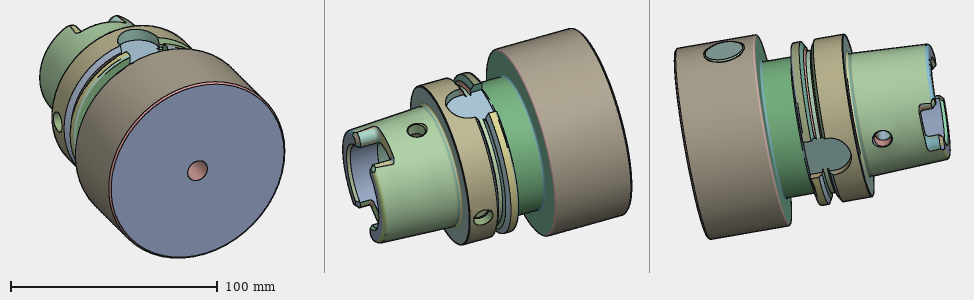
import cadquery as cq
import math


shank_length = 40.0
taper_large_radius = 30.2
taper_ratio = 9.98
taper_end_x = -2.5
relief_radius = 30.0
relief_start_x = -1.7
root_arc_start_x = -0.9
root_arc_radius = 1.0
face_recess_radius = 31.9
tip_fillet = 1.6

bore_radius = 21.0
bore_mouth_radius = 21.7
bore_mouth_depth = 1.7
chamber_start_x = -24.2
chamber_radius = 23.0
chamber_floor_x = -6.6
chamber_floor_fillet = 3.7

centre_hole_radius = 9.2
centre_hole_chamfer = 0.7
centre_hole_depth = 20.0
coolant_radius = 5.25

flange_radius = 40.0
flange_length = 25.8
flange_front_chamfer = 0.4
flange_back_fillet = 1.0
groove_floor_radius = 35.0
groove_left_x = 16.2
groove_right_x = 19.9
groove_wall_radius = 37.2
groove_mouth_left_x = 14.5
groove_mouth_right_x = 21.5
groove_floor_fillet = 0.8

neck_radius = 33.5
neck_fillet = 1.1
head_radius = 47.0
head_start_x = 41.9
head_end_x = 81.9
head_front_fillet = 1.0
head_back_chamfer = 0.9

slot_half_width = 8.0
slot_bottom_z = 10.0
slot_corner_start_z = 21.5
slot_corner_radius = 4.0
slot_outer_half_width = 17.0
slot_top_z = 40.0
slot_floor_fillet = 1.9
slot_tip_chamfer = 1.9
upper_slot_depth = 12.1
lower_slot_depth = 8.3

cross_hole_x = -12.0
cross_hole_radius = 4.25
cross_hole_mouth_radius = 4.85

keyway_half_width = 10.0
keyway_floor_z = 34.0
keyway_start_x = 3.7
keyway_end_x = flange_length + neck_fillet

pocket_x = 7.2
pocket_radius = 5.0
pocket_depth = 5.2
pocket_floor_chamfer = 0.4

screw_x = 57.2
screw_radius = 10.0
screw_length = 20.0
screw_chamfer = 0.8

overcut = 5.0


def taper_radius(x):
    return taper_large_radius - (taper_end_x - x) / (2 * taper_ratio)


def revolve_about_x(profile):
    return profile.close().revolve(360, (0, 0, 0), (1, 0, 0))


def turned_body():
    tip_x = -shank_length
    tip_radius = taper_radius(tip_x)
    diagonal = math.sqrt(0.5)
    root_arc_middle = (
        root_arc_start_x + root_arc_radius * diagonal,
        relief_radius + root_arc_radius * (1 - diagonal),
    )
    root_arc_end = (root_arc_start_x + root_arc_radius, relief_radius + root_arc_radius)
    flange_arc_inset = flange_back_fillet * (1 - diagonal)
    neck_arc_inset = neck_fillet * (1 - diagonal)
    head_arc_inset = head_front_fillet * (1 - diagonal)
    tip_arc_inset = tip_fillet * (1 - diagonal)
    floor_arc_inset = groove_floor_fillet * (1 - diagonal)
    profile = (
        cq.Workplane("XY")
        .moveTo(tip_x, 0)
        .lineTo(tip_x, tip_radius - tip_fillet)
        .threePointArc(
            (tip_x + tip_arc_inset, tip_radius - tip_arc_inset),
            (tip_x + tip_fillet, taper_radius(tip_x + tip_fillet)),
        )
        .lineTo(taper_end_x, taper_large_radius)
        .lineTo(relief_start_x, relief_radius)
        .lineTo(root_arc_start_x, relief_radius)
        .threePointArc(root_arc_middle, root_arc_end)
        .lineTo(0, face_recess_radius)
        .lineTo(0, flange_radius - flange_front_chamfer)
        .lineTo(flange_front_chamfer, flange_radius)
        .lineTo(groove_mouth_left_x, flange_radius)
        .lineTo(groove_left_x, groove_wall_radius)
        .lineTo(groove_left_x, groove_floor_radius + groove_floor_fillet)
        .threePointArc(
            (groove_left_x + floor_arc_inset, groove_floor_radius + floor_arc_inset),
            (groove_left_x + groove_floor_fillet, groove_floor_radius),
        )
        .lineTo(groove_right_x - groove_floor_fillet, groove_floor_radius)
        .threePointArc(
            (groove_right_x - floor_arc_inset, groove_floor_radius + floor_arc_inset),
            (groove_right_x, groove_floor_radius + groove_floor_fillet),
        )
        .lineTo(groove_right_x, groove_wall_radius)
        .lineTo(groove_mouth_right_x, flange_radius)
        .lineTo(flange_length - flange_back_fillet, flange_radius)
        .threePointArc(
            (flange_length - flange_arc_inset, flange_radius - flange_arc_inset),
            (flange_length, flange_radius - flange_back_fillet),
        )
        .lineTo(flange_length, neck_radius + neck_fillet)
        .threePointArc(
            (flange_length + neck_arc_inset, neck_radius + neck_arc_inset),
            (flange_length + neck_fillet, neck_radius),
        )
        .lineTo(head_start_x - neck_fillet, neck_radius)
        .threePointArc(
            (head_start_x - neck_arc_inset, neck_radius + neck_arc_inset),
            (head_start_x, neck_radius + neck_fillet),
        )
        .lineTo(head_start_x, head_radius - head_front_fillet)
        .threePointArc(
            (head_start_x + head_arc_inset, head_radius - head_arc_inset),
            (head_start_x + head_front_fillet, head_radius),
        )
        .lineTo(head_end_x - head_back_chamfer, head_radius)
        .lineTo(head_end_x, head_radius - head_back_chamfer)
        .lineTo(head_end_x, 0)
    )
    return revolve_about_x(profile)


def bore_cutter():
    tip_x = -shank_length
    floor_x = chamber_floor_x
    fillet_inset = chamber_floor_fillet * (1 - math.sqrt(0.5))
    hole_end_x = floor_x + centre_hole_depth
    profile = (
        cq.Workplane("XY")
        .moveTo(tip_x, 0)
        .lineTo(tip_x, bore_mouth_radius)
        .lineTo(tip_x + bore_mouth_depth, bore_radius)
        .lineTo(chamber_start_x, bore_radius)
        .lineTo(chamber_start_x, chamber_radius)
        .lineTo(floor_x - chamber_floor_fillet, chamber_radius)
        .threePointArc(
            (floor_x - fillet_inset, chamber_radius - fillet_inset),
            (floor_x, chamber_radius - chamber_floor_fillet),
        )
        .lineTo(floor_x, centre_hole_radius + centre_hole_chamfer)
        .lineTo(floor_x + centre_hole_chamfer, centre_hole_radius)
        .lineTo(hole_end_x, centre_hole_radius)
        .lineTo(hole_end_x, coolant_radius)
        .lineTo(head_end_x, coolant_radius)
        .lineTo(head_end_x, 0)
    )
    return revolve_about_x(profile)


def drive_slot_section():
    """Outline across the shank axis: a narrow slot whose outer corners flare out round."""
    flare_half_width = slot_half_width + slot_corner_radius
    flare_z = slot_corner_start_z + slot_corner_radius
    arc_inset = slot_corner_radius * (1 - math.sqrt(0.5))
    return (
        cq.Workplane("YZ", origin=(-shank_length, 0, 0))
        .moveTo(-slot_half_width, slot_bottom_z)
        .lineTo(slot_half_width, slot_bottom_z)
        .lineTo(slot_half_width, slot_corner_start_z)
        .threePointArc(
            (slot_half_width + arc_inset, flare_z - arc_inset),
            (flare_half_width, flare_z),
        )
        .lineTo(slot_outer_half_width, flare_z)
        .lineTo(slot_outer_half_width, slot_top_z)
        .lineTo(-slot_outer_half_width, slot_top_z)
        .lineTo(-slot_outer_half_width, flare_z)
        .lineTo(-flare_half_width, flare_z)
        .threePointArc(
            (-slot_half_width - arc_inset, flare_z - arc_inset),
            (-slot_half_width, slot_corner_start_z),
        )
        .close()
    )


def drive_slot_cutter(depth):
    slot = drive_slot_section().extrude(depth).faces(">X").edges().fillet(slot_floor_fillet)
    mouth = drive_slot_section().offset2D(slot_tip_chamfer, "intersection").extrude(
        slot_tip_chamfer, taper=45
    )
    return slot.union(mouth)


def cross_hole_cutter():
    span = 2 * flange_radius
    hole = (
        cq.Workplane("XY", origin=(cross_hole_x, 0, -span / 2))
        .circle(cross_hole_radius)
        .extrude(span)
    )
    mouth_depth = cross_hole_mouth_radius - cross_hole_radius
    surface_z = taper_radius(cross_hole_x)
    mouth = cq.Workplane(
        cq.Solid.makeCone(
            cross_hole_radius,
            cross_hole_mouth_radius + mouth_depth,
            2 * mouth_depth,
            pnt=cq.Vector(cross_hole_x, 0, surface_z - mouth_depth),
            dir=cq.Vector(0, 0, 1),
        )
    )
    return hole.union(mouth).union(mouth.mirror("XY"))


def keyway_cutter():
    round_centre_x = keyway_start_x + keyway_half_width
    return (
        cq.Workplane("XY", origin=(0, 0, keyway_floor_z))
        .moveTo(keyway_end_x, -keyway_half_width)
        .lineTo(keyway_end_x, keyway_half_width)
        .lineTo(round_centre_x, keyway_half_width)
        .threePointArc((keyway_start_x, 0), (round_centre_x, -keyway_half_width))
        .close()
        .extrude(flange_radius - keyway_floor_z + overcut)
    )


def pocket_cutter():
    return (
        cq.Workplane("XZ", origin=(pocket_x, -flange_radius + pocket_depth, 0))
        .circle(pocket_radius)
        .extrude(pocket_depth + overcut)
        .faces(">Y")
        .chamfer(pocket_floor_chamfer)
    )


def screw_hole_cutter():
    return (
        cq.Workplane("XZ", origin=(screw_x, head_radius + overcut, 0))
        .circle(screw_radius)
        .extrude(screw_length + overcut)
    )


def make_holder():
    body = turned_body().cut(bore_cutter())
    body = body.cut(drive_slot_cutter(upper_slot_depth))
    body = body.cut(drive_slot_cutter(lower_slot_depth).mirror("XY"))
    body = body.cut(cross_hole_cutter())
    body = body.cut(keyway_cutter()).cut(keyway_cutter().mirror("XY"))
    return body.cut(pocket_cutter()).cut(screw_hole_cutter())


def make_screw():
    return (
        cq.Workplane("XZ", origin=(screw_x, head_radius, 0))
        .circle(screw_radius)
        .extrude(screw_length)
        .faces(">Y")
        .chamfer(screw_chamfer)
    )


holder = make_holder()
screw = make_screw()

result = cq.Compound.makeCompound([holder.val(), screw.val()])